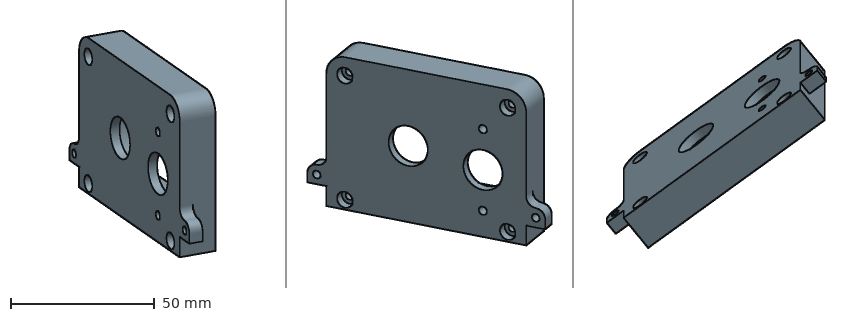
import cadquery as cq
import math

total_width = 92.4
body_width = 77.6
body_depth = 14.0
body_height = 58.0
top_corner_radius = 7.5
front_wall = 3.6

ear_reach = (total_width - body_width) / 2
ear_radius = ear_reach / 2
ear_bottom = 7.6
ear_height = 2 * ear_radius
ear_depth = 5.2
ear_hole_diameter = 3.0

screw_x = 31.6
screw_low_z = 3.8
screw_high_z = 51.0
screw_diameter = 3.0
screw_head_diameter = 6.0
screw_head_depth = 3.8

bore_diameter = 15.15
gear_x = -7.0
gear_z = 29.0
gear_cavity_radius = 15.9
pinion_x = 22.0
pinion_z = 25.5
pinion_cavity_radius = 12.0

motor_screw_diameter = 3.1
motor_screw_offset = 15.5


def front_plane(y=0.0):
    """Sketch plane facing the front, at distance y behind the front face."""
    return cq.Workplane("XZ", origin=(0, y, 0))


def hole(x, z, diameter, depth=body_depth):
    """Round cutter starting at the front face."""
    return front_plane().center(x, z).circle(diameter / 2).extrude(-depth)


def make_body():
    body = front_plane().rect(body_width, body_height).extrude(-body_depth)
    body = body.translate((0, 0, body_height / 2))
    return body.edges("|Y and >Z").fillet(top_corner_radius)


def make_ear(side):
    """Ear with a rounded outer corner and a concave blend; side is -1 or 1."""
    wall = side * body_width / 2
    middle = wall + side * ear_radius
    tip = wall + side * ear_reach
    top = ear_bottom + ear_height
    root = wall - side * ear_radius
    diagonal = ear_radius * math.sqrt(0.5)
    shoulder_z = top - ear_radius
    blend_z = top + ear_radius
    outline = (
        front_plane()
        .moveTo(root, ear_bottom)
        .lineTo(tip, ear_bottom)
        .lineTo(tip, shoulder_z)
        .threePointArc((middle + side * diagonal, shoulder_z + diagonal), (middle, top))
        .threePointArc((middle + side * diagonal - side * 2 * diagonal, blend_z - diagonal), (wall, blend_z))
        .lineTo(root, blend_z)
        .close()
    )
    ear = outline.extrude(-ear_depth)
    return ear, hole(middle, shoulder_z, ear_hole_diameter)


def make_gear_cavity():
    """Two circles joined by their outer tangents, open at the back."""
    dx = pinion_x - gear_x
    dz = pinion_z - gear_z
    axis_angle = math.atan2(dz, dx)
    tangent_angle = math.acos((gear_cavity_radius - pinion_cavity_radius) / math.hypot(dx, dz))

    def gear_point(angle):
        return (
            gear_x + gear_cavity_radius * math.cos(angle),
            gear_z + gear_cavity_radius * math.sin(angle),
        )

    def pinion_point(angle):
        return (
            pinion_x + pinion_cavity_radius * math.cos(angle),
            pinion_z + pinion_cavity_radius * math.sin(angle),
        )

    upper = axis_angle + tangent_angle
    lower = axis_angle - tangent_angle
    outline = (
        front_plane(front_wall)
        .moveTo(*gear_point(upper))
        .threePointArc(gear_point(axis_angle + math.pi), gear_point(lower))
        .lineTo(*pinion_point(lower))
        .threePointArc(pinion_point(axis_angle), pinion_point(upper))
        .close()
    )
    return outline.extrude(front_wall - body_depth)


result = make_body()

for side in (-1, 1):
    ear, ear_hole = make_ear(side)
    result = result.union(ear).cut(ear_hole)

result = result.cut(make_gear_cavity())
for x, z in ((gear_x, gear_z), (pinion_x, pinion_z)):
    result = result.cut(hole(x, z, bore_diameter))

for side in (-1, 1):
    motor_screw_z = pinion_z + side * motor_screw_offset
    result = result.cut(hole(pinion_x, motor_screw_z, motor_screw_diameter))

for x in (-screw_x, screw_x):
    for z in (screw_low_z, screw_high_z):
        result = result.cut(hole(x, z, screw_diameter))
        result = result.cut(hole(x, z, screw_head_diameter, screw_head_depth))